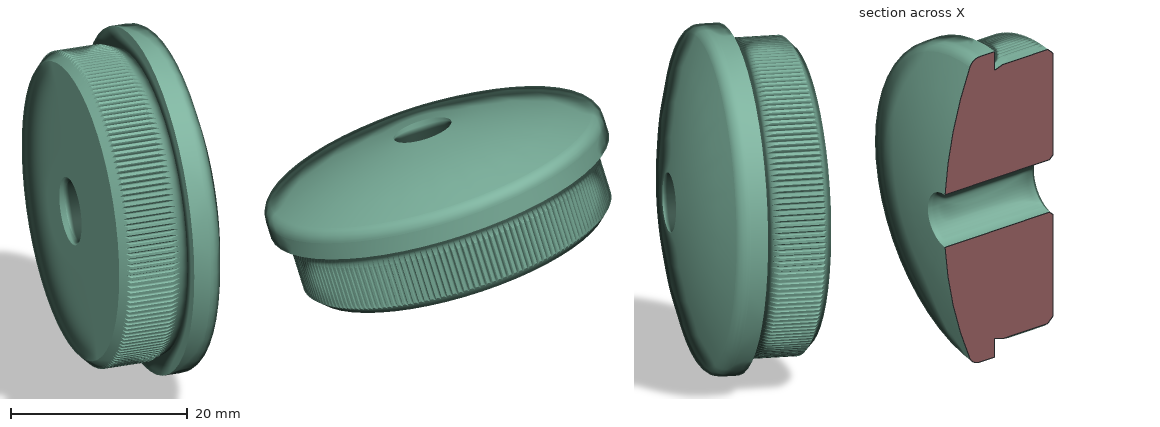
import cadquery as cq
import math


flange_radius = 20.0
flange_start = 8.0
flange_rim_length = 2.0
rim_fillet = 1.5
dome_radius = 53.6

crest_radius = 18.2
plug_chamfer = 1.05
neck_radius = 17.55
neck_length = 1.9

groove_count = 170
groove_depth = 0.3
groove_angle = 60.0
crest_clearance = 0.1

hole_radius = 3.4
hole_chamfer = 0.5

fillet_center_radius = flange_radius - rim_fillet
fillet_center_y = flange_start + flange_rim_length

dome_center_y = fillet_center_y - math.sqrt((dome_radius - rim_fillet) ** 2 - fillet_center_radius ** 2)
dome_apex_y = dome_center_y + dome_radius


def dome_y(radius):
    """Height of the dome at a given distance from the axis."""
    return dome_center_y + math.sqrt(dome_radius ** 2 - radius ** 2)


def revolve_about_y(outline):
    return outline.close().revolve(360, (0, 0, 0), (0, 1, 0))


def make_head():
    tangent_angle = math.atan2(fillet_center_y - dome_center_y, fillet_center_radius)
    tangent_radius = dome_radius * math.cos(tangent_angle)
    tangent_y = dome_y(tangent_radius)
    fillet_mid_angle = tangent_angle / 2
    fillet_mid = (
        fillet_center_radius + rim_fillet * math.cos(fillet_mid_angle),
        fillet_center_y + rim_fillet * math.sin(fillet_mid_angle),
    )
    dome_mid_radius = tangent_radius / 2
    dome_mid = (dome_mid_radius, dome_y(dome_mid_radius))

    outline = (
        cq.Workplane("XY")
        .moveTo(0, flange_start)
        .lineTo(flange_radius, flange_start)
        .lineTo(flange_radius, fillet_center_y)
        .threePointArc(fillet_mid, (tangent_radius, tangent_y))
        .threePointArc(dome_mid, (0, dome_apex_y))
    )
    return revolve_about_y(outline)


def make_knurl_prism():
    """Prism with V notches; its teeth reach past the crests, which stay round."""
    root_radius = crest_radius - groove_depth
    tooth_radius = crest_radius + crest_clearance
    half_width = (tooth_radius - root_radius) * math.tan(math.radians(groove_angle / 2))
    half_angle = math.asin(half_width / tooth_radius)
    points = []
    for i in range(groove_count):
        center_angle = math.pi / 2 + i * 2 * math.pi / groove_count
        for radius, shift in ((tooth_radius, -half_angle), (root_radius, 0), (tooth_radius, half_angle)):
            angle = center_angle + shift
            points.append((radius * math.cos(angle), radius * math.sin(angle)))
    return cq.Workplane("XZ").polyline(points).close().extrude(-flange_start)


def make_plug():
    outline = (
        cq.Workplane("XY")
        .lineTo(crest_radius - plug_chamfer, 0)
        .lineTo(crest_radius, plug_chamfer)
        .lineTo(crest_radius, flange_start - neck_length)
        .lineTo(neck_radius, flange_start)
        .lineTo(0, flange_start)
    )
    return revolve_about_y(outline).intersect(make_knurl_prism())


def make_hole():
    outline = (
        cq.Workplane("XY")
        .lineTo(hole_radius + hole_chamfer, 0)
        .lineTo(hole_radius, hole_chamfer)
        .lineTo(hole_radius, dome_apex_y)
        .lineTo(0, dome_apex_y)
    )
    return revolve_about_y(outline)


result = make_head().union(make_plug()).cut(make_hole())